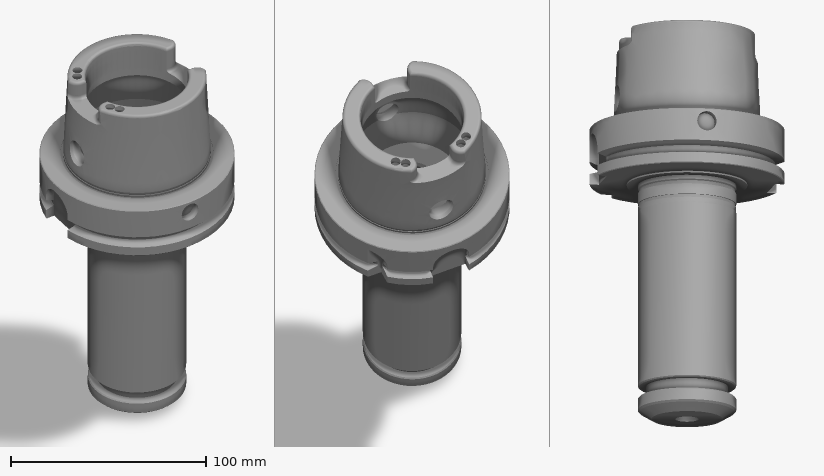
import cadquery as cq
import math


total_length = 202.0
taper_length = 49.9
flange_top = total_length - taper_length
flange_bottom = 123.5

taper_base_radius = 75.5 / 2
taper_top_radius = 35.5
base_band_top = flange_top + 2.5
base_band_bottom = flange_top + 0.8
base_neck_radius = 37.4
face_groove_radius = 39.2
face_groove_depth = 0.5
rim_round = 1.6

flange_radius = 100.0 / 2
flange_edge = 0.5
groove_radius = 45.5
groove_upper_lip = 135.3
groove_floor_top = 133.5
groove_floor_bottom = 130.5
groove_corner_radius = 46.3
groove_corner_level = 129.9
groove_lower_lip = 128.9

step_collar_radius = 61.8 / 2
step_collar_bottom = flange_bottom - 0.8
shank_radius = 50.5 / 2
relieved_radius = 50.0 / 2
ring_groove_radius = 49.3 / 2
upper_ring_groove = (118.2, 120.5)
lower_ring_groove = (111.0, 112.7)
relief_bottom = 108.3
neck_radius = 42.0 / 2
neck_top = 16.8
neck_bottom = 11.0
shank_edge = 0.6
head_lower_edge = 4.6
head_chamfer_radius = 24.2
head_chamfer_level = 3.6
end_radius = 18.2

mouth_radius = 53.0 / 2
mouth_bottom = 181.8
clamp_face_angle = 30.0
undercut_radius = 63.0 / 2
undercut_bottom = 162.8
cavity_floor = 145.5
cavity_floor_radius = 50.0 / 2
lead_in_radius = 25.0 / 2
thread_radius = 22.5 / 2
thread_depth = 20.2
coolant_radius = 12.0 / 2

envelope_radius = 60.5
drive_half_width = 9.9
drive_shoulder = 32.3
drive_corner = 5.3
drive_floor_round = 1.8
front_drive_floor = 192.1
rear_drive_floor = 187.3

clamp_hole_diameter = 12.5
clamp_sink_diameter = 14.1
clamp_sink_depth = 1.6
clamp_hole_level = 166.9
clamp_wall_radius = 37.2
pin_hole_diameter = 5.0
pin_hole_depth = 4.0
pin_circle_radius = 30.7
pin_hole_angles = (30.3, 40.0)
drill_tip_angle = 118.0
chip_hole_diameter = 10.0
side_hole_diameter = 8.5
side_hole_angle = 110.3
flange_hole_level = 145.5
flange_hole_depth = 4.6

keyway_width = 20.2
keyway_centre_level = 137.4
keyway_floor = 44.0
notch_corner = 31.3


def revolve_profile(points):
    """Solid of revolution about Z from (radius, level) points."""
    profile = cq.Workplane("XZ").polyline(points).close()
    return profile.revolve(360, (0, 0, 0), (0, 1, 0))


def make_body():
    """Taper, flange and shank as one turned solid."""
    return revolve_profile([
        (0, 0),
        (end_radius, 0),
        (head_chamfer_radius, head_chamfer_level),
        (shank_radius, head_lower_edge),
        (shank_radius, neck_bottom - shank_edge),
        (shank_radius - shank_edge, neck_bottom),
        (neck_radius, neck_bottom),
        (neck_radius, neck_top),
        (shank_radius - shank_edge, neck_top),
        (shank_radius, neck_top + shank_edge),
        (shank_radius, relief_bottom),
        (relieved_radius, relief_bottom),
        (relieved_radius, lower_ring_groove[0]),
        (ring_groove_radius, lower_ring_groove[0]),
        (ring_groove_radius, lower_ring_groove[1]),
        (shank_radius, lower_ring_groove[1]),
        (shank_radius, upper_ring_groove[0]),
        (ring_groove_radius, upper_ring_groove[0]),
        (ring_groove_radius, upper_ring_groove[1] - shank_edge),
        (shank_radius, upper_ring_groove[1]),
        (shank_radius, step_collar_bottom),
        (step_collar_radius, step_collar_bottom),
        (step_collar_radius, flange_bottom),
        (flange_radius - flange_edge, flange_bottom),
        (flange_radius, flange_bottom + flange_edge),
        (flange_radius, groove_lower_lip),
        (groove_corner_radius, groove_corner_level),
        (groove_radius, groove_floor_bottom),
        (groove_radius, groove_floor_top),
        (flange_radius, groove_upper_lip),
        (flange_radius, flange_top - flange_edge),
        (flange_radius - flange_edge, flange_top),
        (face_groove_radius, flange_top),
        (face_groove_radius, flange_top - face_groove_depth),
        (taper_base_radius, flange_top - face_groove_depth),
        (taper_base_radius, base_band_bottom),
        (base_neck_radius, base_band_bottom),
        (taper_base_radius, base_band_top),
        (taper_top_radius, total_length),
        (0, total_length),
    ])


def make_cavity():
    """Clamping cavity with its undercut, the threaded bore and the coolant hole."""
    clamp_face_width = undercut_radius - mouth_radius
    undercut_top = mouth_bottom - clamp_face_width * math.tan(math.radians(clamp_face_angle))
    thread_bottom = cavity_floor - thread_depth
    return revolve_profile([
        (0, 0),
        (coolant_radius, 0),
        (coolant_radius, thread_bottom),
        (thread_radius, thread_bottom),
        (thread_radius, cavity_floor - (lead_in_radius - thread_radius)),
        (lead_in_radius, cavity_floor),
        (cavity_floor_radius, cavity_floor),
        (undercut_radius, undercut_bottom),
        (undercut_radius, undercut_top),
        (mouth_radius, mouth_bottom),
        (mouth_radius, total_length),
        (0, total_length),
    ])


def make_drive_slot(side, floor_level):
    """Slot through the rim toward +Y (side = 1) or -Y (side = -1), flared around the tang ends."""
    arc_centre_x = drive_half_width + drive_corner
    arc_start_y = drive_shoulder - drive_corner
    arc_reach = drive_corner * math.sqrt(0.5)
    arc_mid = (arc_centre_x - arc_reach, arc_start_y + arc_reach)
    outline = (
        cq.Workplane("XY", origin=(0, 0, floor_level))
        .moveTo(-drive_half_width, 0)
        .lineTo(drive_half_width, 0)
        .lineTo(drive_half_width, side * arc_start_y)
        .threePointArc((arc_mid[0], side * arc_mid[1]), (arc_centre_x, side * drive_shoulder))
        .lineTo(envelope_radius, side * drive_shoulder)
        .lineTo(envelope_radius, side * envelope_radius)
        .lineTo(-envelope_radius, side * envelope_radius)
        .lineTo(-envelope_radius, side * drive_shoulder)
        .lineTo(-arc_centre_x, side * drive_shoulder)
        .threePointArc((-arc_mid[0], side * arc_mid[1]), (-drive_half_width, side * arc_start_y))
        .close()
    )
    slot = outline.extrude(total_length - floor_level)
    return slot.faces("<Z").edges().fillet(drive_floor_round)


def make_slotted_envelope():
    """Cylinder wider than the part, with both drive slots and rounded edges along their tops."""
    envelope = cq.Workplane("XY").circle(envelope_radius).extrude(total_length)
    envelope = envelope.cut(make_drive_slot(-1, front_drive_floor))
    envelope = envelope.cut(make_drive_slot(1, rear_drive_floor))
    return envelope.faces(">Z").edges().fillet(rim_round)


def make_keyway(centre_x, floor_y, side):
    """Round-topped slot in the flange, open below, cut along Y from outside to floor_y."""
    depth = flange_radius - floor_y
    round_top = (
        cq.Workplane("XZ", origin=(centre_x, side * floor_y, keyway_centre_level))
        .circle(keyway_width / 2)
        .extrude(-side * depth)
    )
    height = keyway_centre_level - flange_bottom
    straight = cq.Workplane("XY").box(keyway_width, depth, height)
    straight = straight.translate(
        (centre_x, side * (floor_y + depth / 2), flange_bottom + height / 2)
    )
    return round_top.union(straight)


def make_clamp_hole():
    """Cross hole through both taper walls along Y, with a shallow countersink at each mouth."""
    hole_radius = clamp_hole_diameter / 2
    sink_radius = clamp_sink_diameter / 2
    sink_floor = clamp_wall_radius - clamp_sink_depth
    half_tool = (
        cq.Workplane("XY")
        .polyline([
            (0, 0),
            (hole_radius, 0),
            (hole_radius, sink_floor),
            (sink_radius, clamp_wall_radius),
            (sink_radius, flange_radius),
            (0, flange_radius),
        ])
        .close()
        .revolve(360, (0, 0, 0), (0, 1, 0))
    )
    tool = half_tool.union(half_tool.mirror("XZ"))
    return tool.translate((0, 0, clamp_hole_level))


def make_pin_hole(angle):
    """Drilled hole with a conical tip in the rim, placed by its angle about Z."""
    radius = pin_hole_diameter / 2
    tip_depth = radius / math.tan(math.radians(drill_tip_angle / 2))
    straight_bottom = total_length - pin_hole_depth
    drill = revolve_profile([
        (0, straight_bottom - tip_depth),
        (radius, straight_bottom),
        (radius, total_length),
        (0, total_length),
    ])
    return drill.translate((pin_circle_radius, 0, 0)).rotate((0, 0, 0), (0, 0, 1), angle)


def make_flange_hole(diameter, angle):
    """Radial blind hole in the flange rim at an angle about Z."""
    drill = (
        cq.Workplane("YZ", origin=(flange_radius - flange_hole_depth, 0, flange_hole_level))
        .circle(diameter / 2)
        .extrude(2 * flange_hole_depth)
    )
    return drill.rotate((0, 0, 0), (0, 0, 1), angle)


body = make_body().cut(make_cavity())
body = body.faces(">Z").edges().fillet(rim_round)
body = body.intersect(make_slotted_envelope())

body = body.cut(make_clamp_hole())
for offset in pin_hole_angles:
    for direction in (-1, 1):
        body = body.cut(make_pin_hole(-90 + direction * offset))

for side in (-1, 1):
    body = body.cut(make_keyway(0, keyway_floor, side))
body = body.cut(make_keyway(-notch_corner - keyway_width / 2, notch_corner, -1))

body = body.cut(make_flange_hole(chip_hole_diameter, 0))
body = body.cut(make_flange_hole(side_hole_diameter, side_hole_angle))

result = body